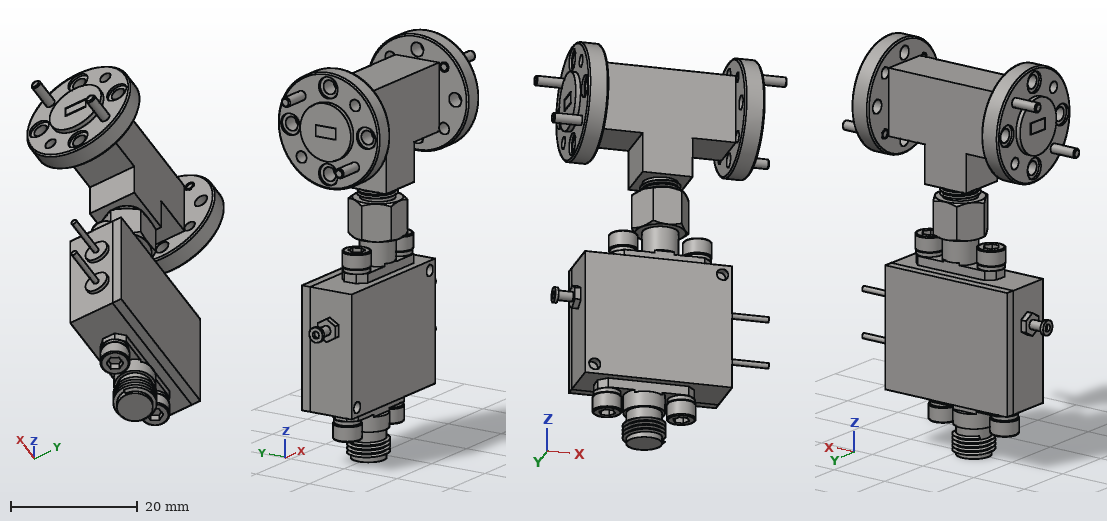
import cadquery as cq
import math


overall_length = 38.2
overall_height = 66.0

flange_dia = 19.1
flange_thickness = 3.3
flange_chamfer = 0.25
flange_outer_face = 14.45
boss_dia = 9.5
boss_height = 0.8
port_width = 3.75
port_height = 1.85
port_depth = 0.1
bolt_circle_radius = 7.1
bolt_hole_dia = 2.3
counterbore_dia = 3.55
counterbore_depth = 0.4
dowel_dia = 1.6
dowel_hole_dia = 1.9
dowel_chamfer = 0.2
tee_width = 8.2
arm_height = 11.3
leg_bottom = -12.2

thread_root_radius = 2.85
thread_pitch = 0.65
thread_half_base = 0.25
thread_overlap = 0.05
upper_thread_radius = 3.25
lower_thread_radius = 3.4
lower_thread_start = 0.65
lower_thread_length = 2.9

housing_left = -13.4
housing_width = 24.1
housing_top = -26.5
housing_height = 20.5
housing_front = -3.7
cover_seam = 4.1
cover_thickness = 1.6
corner_hole_dia = 1.85
corner_hole_inset = 1.6
corner_hole_depth = 1.6

connector_y = 0.1
upper_connector_x = 0
lower_connector_x = -2.65
plate_length = 15.85
plate_width = 4.8
plate_thickness = 1.5
plate_chamfer = 1.3
barrel_flat_height = 0.4
upper_barrel_radius = 2.9
lower_barrel_radius = 3.3
lower_barrel_length = 2.85
nut_top = -14.3
nut_height = 6.3
nut_flats = 8.1
nut_chamfer_height = 0.4
nut_chamfer_inset = 0.65

screw_spacing = 12.15
screw_head_radius = 2.3
screw_head_height = 2.7
screw_collar_radius = 2.2
screw_collar_height = 0.65
screw_chamfer = 0.2
socket_corner_dia = 2.65
socket_depth = 1.3

terminal_z = -32.8
post_y = 0.4
post_hex_corners = 3.8
post_hex_thickness = 1.0
post_stem_radius = 0.8
post_stem_length = 2.5
post_head_radius = 1.25
post_head_thickness = 0.5
post_hole_radius = 0.6
post_hole_depth = 0.5
lead_y = 1.45
lead_spacing = 7.8
lead_radius = 0.45
lead_length = 7.4
bead_radius = 2.0
bead_thickness = 0.6

housing_right = housing_left + housing_width
housing_bottom = housing_top - housing_height
upper_plate_top = housing_top + plate_thickness
lower_plate_bottom = housing_bottom - plate_thickness
nut_bottom = nut_top - nut_height
lower_connector_tip = flange_dia / 2 - overall_height
dowel_tip = overall_length / 2
dowel_offset = bolt_circle_radius * math.cos(math.pi / 4)


def disc_z(x, y, z_bottom, z_top, radius):
    """Cylinder along Z between two heights."""
    return cq.Workplane("XY", origin=(x, y, z_bottom)).circle(radius).extrude(z_top - z_bottom)


def disc_x(x_start, x_end, y, z, radius):
    """Cylinder along X between two positions."""
    return cq.Workplane("YZ", origin=(x_start, y, z)).circle(radius).extrude(x_end - x_start)


def thread_ridge(x, y, z_bottom, length, crest_radius):
    """Helical triangular ridge on the thread root cylinder."""
    base_radius = thread_root_radius - thread_overlap
    path = cq.Wire.makeHelix(thread_pitch, length, base_radius)
    ridge = (
        cq.Workplane("XZ")
        .moveTo(base_radius, -thread_half_base)
        .lineTo(crest_radius, 0)
        .lineTo(base_radius, thread_half_base)
        .close()
        .sweep(cq.Workplane(path), isFrenet=True)
    )
    return ridge.translate((x, y, z_bottom))


def waveguide_flange():
    """Flange on the -X end, with its boss, port, bolt holes and dowels."""
    inner_face = -flange_outer_face + flange_thickness
    flange = disc_x(-flange_outer_face, inner_face, 0, 0, flange_dia / 2).edges().chamfer(flange_chamfer)
    boss_face = -flange_outer_face - boss_height
    flange = flange.union(disc_x(boss_face, -flange_outer_face, 0, 0, boss_dia / 2))

    port = cq.Workplane("YZ", origin=(boss_face, 0, 0)).rect(port_width, port_height).extrude(port_depth)
    flange = flange.cut(port)

    for quarter in range(4):
        angle = quarter * math.pi / 2
        y = bolt_circle_radius * math.cos(angle)
        z = bolt_circle_radius * math.sin(angle)
        flange = flange.cut(disc_x(-flange_outer_face, inner_face, y, z, bolt_hole_dia / 2))
        counterbore_floor = -flange_outer_face + counterbore_depth
        flange = flange.cut(disc_x(-flange_outer_face, counterbore_floor, y, z, counterbore_dia / 2))

    for side in (-1, 1):
        y = side * dowel_offset
        dowel = disc_x(-dowel_tip, inner_face, y, y, dowel_dia / 2)
        flange = flange.cut(dowel).union(dowel.faces("<X or >X").chamfer(dowel_chamfer))
        flange = flange.cut(disc_x(-flange_outer_face, inner_face, y, -y, dowel_hole_dia / 2))
    return flange


def waveguide_tee():
    """Tee block with a flange at each end and a threaded coaxial port below."""
    arm_length = 2 * (flange_outer_face - flange_thickness)
    tee = cq.Workplane("XY").box(arm_length, tee_width, arm_height)
    leg = cq.Workplane("XY").rect(tee_width, tee_width).extrude(leg_bottom)
    tee = tee.union(leg)

    left_flange = waveguide_flange()
    right_flange = left_flange.rotate((0, 0, 0), (0, 0, 1), 180)
    tee = tee.union(left_flange).union(right_flange)

    tee = tee.union(disc_z(upper_connector_x, connector_y, nut_top, leg_bottom, thread_root_radius))
    ridge_length = leg_bottom - nut_top - thread_pitch
    ridge_bottom = nut_top + thread_pitch / 2
    ridge = thread_ridge(upper_connector_x, connector_y, ridge_bottom, ridge_length, upper_thread_radius)
    return tee.union(ridge)


def connector_plate(x, z_bottom):
    """Two-bolt mounting plate with chamfered corners."""
    plate = cq.Workplane("XY", origin=(x, connector_y, z_bottom)).rect(plate_length, plate_width)
    return plate.extrude(plate_thickness).edges("|Z").chamfer(plate_chamfer)


def barrel_foot(x, z_bottom, barrel_radius):
    """Short foot of a barrel, cut flush with the long sides of its plate."""
    foot_top = z_bottom + barrel_flat_height
    foot = disc_z(x, connector_y, z_bottom, foot_top, barrel_radius)
    band = cq.Workplane("XY", origin=(x, connector_y, z_bottom)).rect(plate_length, plate_width)
    return foot.intersect(band.extrude(barrel_flat_height))


def coupling_nut():
    """Hexagonal nut with its corners on the X axis and both ends chamfered."""
    corner_radius = nut_flats / 2 / math.cos(math.pi / 6)
    end_radius = corner_radius - nut_chamfer_inset
    centre = (upper_connector_x, connector_y, nut_bottom)
    hexagon = cq.Workplane("XY", origin=centre).polygon(6, 2 * corner_radius).extrude(nut_height)
    turned = (
        cq.Workplane("XZ")
        .polyline([
            (0, 0),
            (end_radius, 0),
            (corner_radius, nut_chamfer_height),
            (corner_radius, nut_height - nut_chamfer_height),
            (end_radius, nut_height),
            (0, nut_height),
        ])
        .close()
        .revolve(360, (0, 0, 0), (0, 1, 0))
        .translate(centre)
    )
    return hexagon.intersect(turned)


def upper_connector():
    """Plate, barrel and coupling nut on top of the housing."""
    x = upper_connector_x
    barrel_bottom = upper_plate_top + barrel_flat_height
    connector = connector_plate(x, housing_top)
    connector = connector.union(barrel_foot(x, upper_plate_top, upper_barrel_radius))
    connector = connector.union(disc_z(x, connector_y, barrel_bottom, nut_bottom, upper_barrel_radius))
    return connector.union(coupling_nut())


def lower_connector():
    """Plate, barrel and threaded end below the housing."""
    x = lower_connector_x
    barrel_top = lower_plate_bottom - barrel_flat_height
    barrel_bottom = lower_plate_bottom - lower_barrel_length
    connector = connector_plate(x, lower_plate_bottom)
    connector = connector.union(barrel_foot(x, barrel_top, lower_barrel_radius))
    connector = connector.union(disc_z(x, connector_y, barrel_bottom, barrel_top, lower_barrel_radius))
    core = disc_z(x, connector_y, lower_connector_tip, barrel_bottom, thread_root_radius)
    thread_bottom = lower_connector_tip + lower_thread_start
    ridge = thread_ridge(x, connector_y, thread_bottom, lower_thread_length, lower_thread_radius)
    return connector.union(core.union(ridge))


def side_post():
    """Flanged post with a hexagonal base on the -X wall."""
    hex_face = housing_left - post_hex_thickness
    stem_end = hex_face - post_stem_length
    tip = stem_end - post_head_thickness
    base = (
        cq.Workplane("YZ", origin=(hex_face, post_y, terminal_z))
        .transformed(rotate=(0, 0, 90))
        .polygon(6, post_hex_corners)
        .extrude(post_hex_thickness)
    )
    post = base.union(disc_x(stem_end, hex_face, post_y, terminal_z, post_stem_radius))
    post = post.union(disc_x(tip, stem_end, post_y, terminal_z, post_head_radius))
    return post.cut(disc_x(tip, tip + post_hole_depth, post_y, terminal_z, post_hole_radius))


def lead(z):
    """Wire lead and its insulating bead on the +X wall."""
    bead = disc_x(housing_right, housing_right + bead_thickness, lead_y, z, bead_radius)
    return bead.union(disc_x(housing_right, housing_right + lead_length, lead_y, z, lead_radius))


def housing_block(y_front, depth):
    """Block of the housing outline, from y_front back through depth."""
    corner = (housing_left, y_front, housing_bottom)
    block = cq.Workplane("XY").box(housing_width, depth, housing_height, centered=False)
    return block.translate(corner)


def amplifier_housing():
    """Housing with its connectors, side post and leads."""
    housing = housing_block(housing_front, cover_seam - housing_front)
    corner_holes = [
        (housing_left + corner_hole_inset, housing_bottom + corner_hole_inset),
        (housing_right - corner_hole_inset, housing_top - corner_hole_inset),
    ]
    for x, z in corner_holes:
        hole = cq.Workplane("XZ", origin=(x, housing_front, z)).circle(corner_hole_dia / 2)
        housing = housing.cut(hole.extrude(-corner_hole_depth))

    housing = housing.union(upper_connector()).union(lower_connector()).union(side_post())
    for z in (terminal_z, terminal_z - lead_spacing):
        housing = housing.union(lead(z))
    return housing


def housing_cover():
    """Flat plate closing the back of the housing."""
    return housing_block(cover_seam, cover_thickness)


def socket_screw():
    """Socket head on a narrower collar, standing on Z = 0."""
    screw_height = screw_collar_height + screw_head_height
    head = disc_z(0, 0, screw_collar_height, screw_height, screw_head_radius).edges().chamfer(screw_chamfer)
    collar = disc_z(0, 0, 0, screw_collar_height, screw_collar_radius)
    socket_floor = (0, 0, screw_height - socket_depth)
    socket = cq.Workplane("XY", origin=socket_floor).polygon(6, socket_corner_dia).extrude(socket_depth)
    return collar.union(head).cut(socket)


def plate_screws():
    """Two upright screws on the upper plate and two inverted ones under the lower plate."""
    upright = socket_screw()
    inverted = upright.rotate((0, 0, 0), (1, 0, 0), 180)
    screws = []
    for side in (-1, 1):
        offset = side * screw_spacing / 2
        screws.append(upright.translate((upper_connector_x + offset, connector_y, upper_plate_top)))
        screws.append(inverted.translate((lower_connector_x + offset, connector_y, lower_plate_bottom)))
    return screws


tee = waveguide_tee()
housing = amplifier_housing()
cover = housing_cover()
screws = plate_screws()

result = cq.Compound.makeCompound([
    tee.solids().val(),
    housing.solids().val(),
    cover.val(),
    *[screw.solids().val() for screw in screws],
])